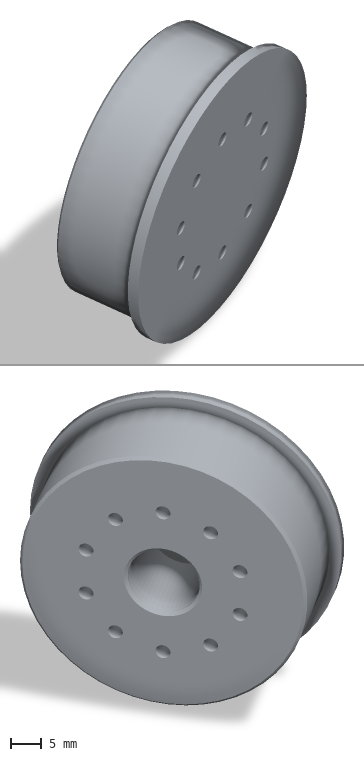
import cadquery as cq

flange_diameter = 52.0
body_diameter = 48.0
total_length = 17.0
flange_thickness = 2.0
edge_chamfer = 0.5

bore_diameter = 12.0
bore_depth = 14.95

bolt_hole_count = 10
bolt_hole_diameter = 2.5
bolt_circle_radius = 13.5

front_x = -total_length / 2


def cylinder(diameter, start_x, length):
    """Solid cylinder about the X axis, extending in +X from start_x."""
    return cq.Workplane("YZ", origin=(start_x, 0, 0)).circle(diameter / 2).extrude(length)


body = cylinder(body_diameter, front_x, total_length).faces("<X").chamfer(edge_chamfer)
flange = cylinder(flange_diameter, total_length / 2 - flange_thickness, flange_thickness)

bore = cylinder(bore_diameter, front_x, bore_depth)
bore_mouth = (
    cq.Workplane("YZ", origin=(front_x, 0, 0))
    .circle(bore_diameter / 2 + edge_chamfer)
    .workplane(offset=edge_chamfer)
    .circle(bore_diameter / 2)
    .loft(ruled=True)
)

bolt_holes = (
    cq.Workplane("YZ", origin=(front_x, 0, 0))
    .polarArray(bolt_circle_radius, 90, 360, bolt_hole_count)
    .circle(bolt_hole_diameter / 2)
    .extrude(total_length)
)

result = body.union(flange).cut(bore).cut(bore_mouth).cut(bolt_holes)